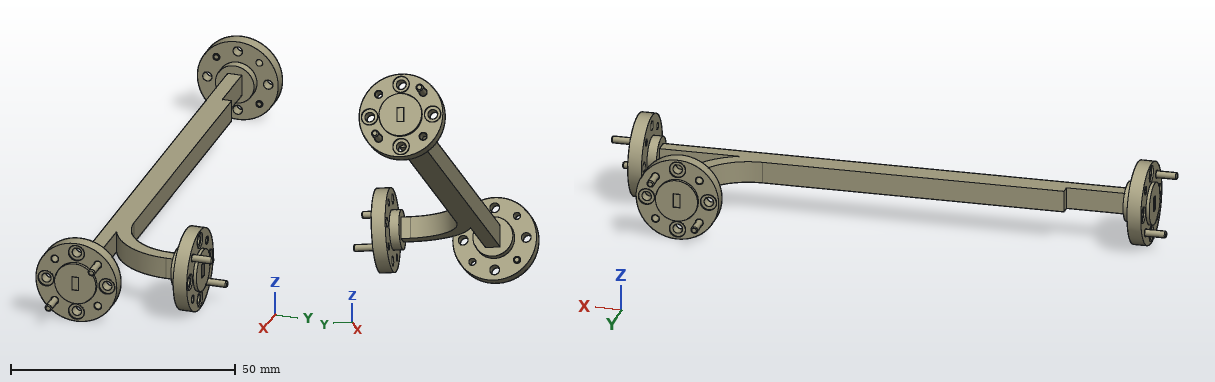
import cadquery as cq
import math

overall_length = 127.6
overall_width = 38.3
flange_diameter = 19.0
flange_thickness = 3.2
hub_diameter = 9.0
hub_height = 2.2
boss_diameter = 9.7
boss_height = 0.8
bolt_circle_radius = 7.1
screw_hole_diameter = 2.2
counterbore_diameter = 3.7
counterbore_depth = 0.4
pin_radius = 0.79
pin_hole_edge_chamfer = 0.1
pin_chamfer = 0.3
pin_protrusion = 4.7
port_width = 1.5
port_height = 3.2
port_depth = 0.1

guide_width = 3.3
guide_height = 5.0
branch_wall_y = 3.8
coupler_start_x = -40.0
branch_x = 43.9
bend_inner_radius = 12.8

flange_face_x = overall_length / 2 - pin_protrusion
branch_face_y = overall_width - flange_diameter / 2 - pin_protrusion
hub_end_offset = flange_thickness + hub_height
guide_half_width = guide_width / 2
bend_outer_radius = bend_inner_radius + guide_width
bend_center_x = branch_x - guide_half_width - bend_inner_radius
bend_center_y = branch_wall_y + bend_inner_radius
branch_end_y = branch_face_y - hub_end_offset
pin_offset = bolt_circle_radius * math.sin(math.radians(45))

left_port = cq.Plane(origin=(-flange_face_x, 0, 0), xDir=(0, -1, 0), normal=(-1, 0, 0))
right_port = cq.Plane(origin=(flange_face_x, 0, 0), xDir=(0, 1, 0), normal=(1, 0, 0))
branch_port = cq.Plane(origin=(branch_x, branch_face_y, 0), xDir=(-1, 0, 0), normal=(0, 1, 0))

ports = [(left_port, 1), (right_port, 1), (branch_port, -1)]


def make_flange(port):
    """Round flange with rear hub, raised mating boss, screw holes, pin holes and a shallow port recess."""
    flange = cq.Workplane(port).circle(flange_diameter / 2).extrude(-flange_thickness)
    hub = cq.Workplane(port).circle(hub_diameter / 2).extrude(-hub_end_offset)
    boss = cq.Workplane(port).circle(boss_diameter / 2).extrude(boss_height)
    screw_holes = (
        cq.Workplane(port)
        .polarArray(bolt_circle_radius, 0, 360, 4)
        .circle(screw_hole_diameter / 2)
        .extrude(-flange_thickness)
    )
    counterbores = (
        cq.Workplane(port)
        .polarArray(bolt_circle_radius, 0, 360, 4)
        .circle(counterbore_diameter / 2)
        .extrude(-counterbore_depth)
    )
    pin_holes = (
        cq.Workplane(port)
        .polarArray(bolt_circle_radius, 45, 360, 4)
        .circle(pin_radius)
        .extrude(-flange_thickness)
    )
    pin_hole_edges = (
        cq.Workplane(port)
        .polarArray(bolt_circle_radius, 45, 360, 4)
        .circle(pin_radius + pin_hole_edge_chamfer)
        .extrude(-pin_hole_edge_chamfer, taper=45)
    )
    port_recess = (
        cq.Workplane(port)
        .workplane(offset=boss_height)
        .rect(port_width, port_height)
        .extrude(-port_depth)
    )
    for holes in (screw_holes, counterbores, pin_holes, pin_hole_edges):
        flange = flange.cut(holes)
    return flange.union(hub).union(boss).cut(port_recess)


def make_guide():
    """Straight guide with a thicker coupling length that bends off into the branch."""
    straight = cq.Workplane("XY").box(2 * (flange_face_x - hub_end_offset), guide_width, guide_height)
    diagonal = math.sqrt(0.5)
    branch = (
        cq.Workplane("XY")
        .workplane(offset=-guide_height / 2)
        .moveTo(coupler_start_x, 0)
        .lineTo(coupler_start_x, branch_wall_y)
        .lineTo(bend_center_x, branch_wall_y)
        .threePointArc(
            (bend_center_x + bend_inner_radius * diagonal, bend_center_y - bend_inner_radius * diagonal),
            (branch_x - guide_half_width, bend_center_y),
        )
        .lineTo(branch_x - guide_half_width, branch_end_y)
        .lineTo(branch_x + guide_half_width, branch_end_y)
        .lineTo(branch_x + guide_half_width, bend_center_y)
        .threePointArc(
            (bend_center_x + bend_outer_radius * diagonal, bend_center_y - bend_outer_radius * diagonal),
            (bend_center_x, branch_wall_y - guide_width),
        )
        .lineTo(bend_center_x, 0)
        .close()
        .extrude(guide_height)
    )
    return straight.union(branch)


def make_pin(port, x, y):
    """Alignment pin, chamfered at both ends, seated in its hole and standing out of the mating face."""
    return (
        cq.Workplane(port)
        .workplane(offset=-flange_thickness)
        .center(x, y)
        .circle(pin_radius)
        .extrude(flange_thickness + pin_protrusion)
        .faces("%PLANE")
        .chamfer(pin_chamfer)
    )


housing = make_guide()
for port, _ in ports:
    housing = housing.union(make_flange(port))

pins = []
for port, side in ports:
    for end in (1, -1):
        pins.append(make_pin(port, end * side * pin_offset, end * pin_offset))

result = cq.Compound.makeCompound([housing.val(), *[pin.val() for pin in pins]])